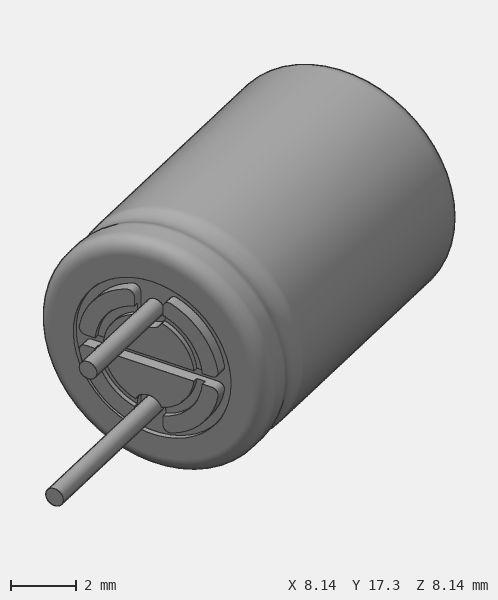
import cadquery as cq
import math


total_length = 17.3
long_lead_reach = 5.8
can_length = total_length - long_lead_reach
can_radius = 4.07
can_edge_radius = 0.5

bead_center_y = 1.57
bead_half_width = 0.57
bead_valley_half_width = 0.36
bead_depth = 0.12

recess_radius = 2.79
recess_depth = 0.17
pad_reach = 0.2
pad_radius = 2.49
pad_gap = 0.38
pad_corner_radius = 0.22

groove_outer_radius = 1.9
groove_inner_radius = 1.61
groove_depth = 0.17

lead_radius = 0.31
lead_pitch = 3.5
short_lead_reach = 3.8
lead_slot_radius = 0.5


def cylinder_y(radius, y_start, y_end, z=0.0):
    """Solid cylinder parallel to Y between two Y positions."""
    axis_start = cq.Vector(0, y_start, z)
    return cq.Workplane(cq.Solid.makeCylinder(radius, y_end - y_start, axis_start, cq.Vector(0, 1, 0)))


def make_can():
    """Can turned about Y, with rounded ends and the rolled bead."""
    turn = 2 * math.atan(bead_depth / bead_half_width)
    shoulder_depth = (bead_half_width - bead_valley_half_width) * math.tan(turn / 2)
    valley_edge_radius = can_radius - shoulder_depth
    bead_start = bead_center_y - bead_half_width
    bead_end = bead_center_y + bead_half_width
    valley_start = bead_center_y - bead_valley_half_width
    valley_end = bead_center_y + bead_valley_half_width

    profile = (
        cq.Workplane("XY")
        .lineTo(can_radius - can_edge_radius, 0)
        .radiusArc((can_radius, can_edge_radius), -can_edge_radius)
        .lineTo(can_radius, bead_start)
        .tangentArcPoint((valley_edge_radius, valley_start), relative=False)
        .threePointArc((can_radius - bead_depth, bead_center_y), (valley_edge_radius, valley_end))
        .tangentArcPoint((can_radius, bead_end), relative=False)
        .lineTo(can_radius, can_length - can_edge_radius)
        .radiusArc((can_radius - can_edge_radius, can_length), -can_edge_radius)
        .lineTo(0, can_length)
        .close()
    )
    can = profile.revolve(360, (0, 0, 0), (0, 1, 0))
    return can.cut(cylinder_y(recess_radius, 0, recess_depth))


def make_pad(side):
    """Half-round pad on the +Z (side = 1) or -Z (side = -1) half of the seal."""
    pad = cylinder_y(pad_radius, -pad_reach, recess_depth)

    pad_height = pad_reach + recess_depth
    pad_middle_y = (recess_depth - pad_reach) / 2
    half_space = cq.Workplane("XY").box(2 * pad_radius, pad_height, pad_radius).translate(
        (0, pad_middle_y, side * (pad_gap + pad_radius) / 2)
    )
    pad = pad.intersect(half_space)

    lead_z = side * lead_pitch / 2
    slot_opening = cq.Workplane("XY").box(2 * lead_slot_radius, pad_height, pad_radius).translate(
        (0, pad_middle_y, lead_z + side * pad_radius / 2)
    )
    slot = slot_opening.union(cylinder_y(lead_slot_radius, -pad_reach, recess_depth, lead_z))
    pad = pad.cut(slot)

    inside_rim_radius = (groove_outer_radius + pad_radius) / 2
    corners = [
        edge
        for edge in pad.edges("|Y").vals()
        if math.hypot(edge.Center().x, edge.Center().z) > inside_rim_radius
    ]
    pad = pad.newObject(corners).fillet(pad_corner_radius)

    groove_floor_y = groove_depth - pad_reach
    ring = cylinder_y(groove_outer_radius, -pad_reach, groove_floor_y).cut(
        cylinder_y(groove_inner_radius, -pad_reach, groove_floor_y)
    )
    return pad.cut(ring)


def make_lead(side, reach):
    """Round lead from the recess floor out to the given reach."""
    return cylinder_y(lead_radius, -reach, recess_depth, side * lead_pitch / 2)


result = make_can()
for side, reach in ((1, short_lead_reach), (-1, long_lead_reach)):
    result = result.union(make_pad(side)).union(make_lead(side, reach))